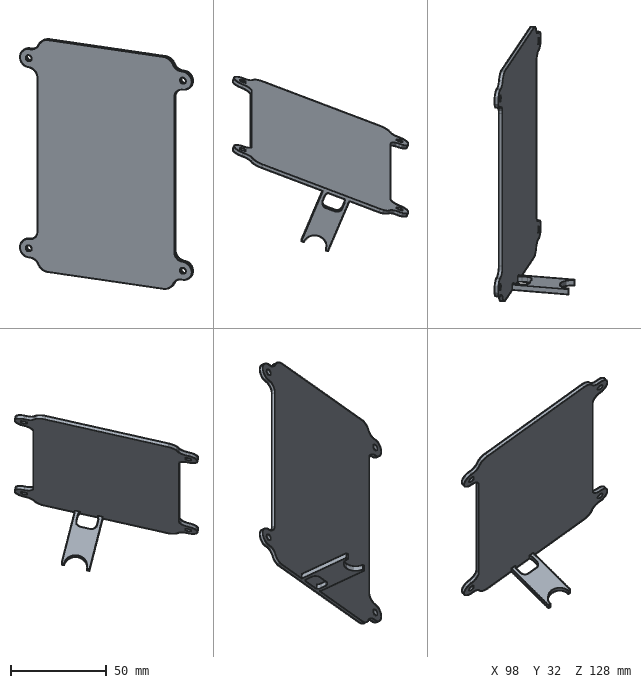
import cadquery as cq
import math

plate_height = 128.0
plate_thickness = 2.0
corner_radius = 6.0

overall_width = 98.0
ear_radius = 5.0
ear_hole_diameter = 3.3
ear_drop = 11.5
blend_radius = 5.0

overall_depth = 32.0
tab_width = 15.0
tab_thickness = 3.0
tab_centre_x = 9.2
notch_radius = 6.1
notch_depth = 6.0
window_width = 11.0
window_length = 9.0
window_reach = 8.0
window_corner_radius = 3.0

half_height = plate_height / 2
ear_x = overall_width / 2 - ear_radius
half_width = ear_x - blend_radius
ear_z = half_height - ear_drop


def plate_quarter(side_x, side_z):
    """Quarter of the plate with one ear; side_x and side_z (1 or -1) choose the quarter."""
    corner_x = half_width - corner_radius
    corner_z = half_height - corner_radius
    outer_blend_z = ear_z + ear_radius + blend_radius
    centre_distance = corner_radius + blend_radius
    blend_angle = math.asin((outer_blend_z - corner_z) / centre_distance)
    outer_blend_x = corner_x + centre_distance * math.cos(blend_angle)
    inner_blend_z = ear_z - ear_radius - blend_radius

    def place(x, z):
        return (side_x * x, side_z * z)

    def on_arc(centre_x, centre_z, radius, angle):
        return place(centre_x + radius * math.cos(angle), centre_z + radius * math.sin(angle))

    corner_mid_angle = (blend_angle + math.pi / 2) / 2
    blend_mid_angle = (blend_angle + math.pi + 1.5 * math.pi) / 2
    return (
        cq.Workplane("XZ")
        .moveTo(0, 0)
        .lineTo(*place(0, half_height))
        .lineTo(*place(corner_x, half_height))
        .threePointArc(
            on_arc(corner_x, corner_z, corner_radius, corner_mid_angle),
            on_arc(corner_x, corner_z, corner_radius, blend_angle),
        )
        .threePointArc(
            on_arc(outer_blend_x, outer_blend_z, blend_radius, blend_mid_angle),
            place(outer_blend_x, ear_z + ear_radius),
        )
        .lineTo(*place(ear_x, ear_z + ear_radius))
        .threePointArc(place(ear_x + ear_radius, ear_z), place(ear_x, ear_z - ear_radius))
        .threePointArc(
            on_arc(ear_x, inner_blend_z, blend_radius, 0.75 * math.pi),
            place(half_width, inner_blend_z),
        )
        .lineTo(*place(half_width, 0))
        .close()
        .extrude(-plate_thickness)
    )


def make_plate():
    """Four mirrored quarters with a hole through each ear."""
    plate = plate_quarter(1, 1)
    for side_x, side_z in ((-1, 1), (-1, -1), (1, -1)):
        plate = plate.union(plate_quarter(side_x, side_z))
    holes = (
        cq.Workplane("XZ")
        .rect(2 * ear_x, 2 * ear_z, forConstruction=True)
        .vertices()
        .circle(ear_hole_diameter / 2)
        .extrude(-plate_thickness)
    )
    return plate.cut(holes).clean()


def make_tab():
    """Flat tab with a round notch in its free end and a rounded window beside the plate."""
    tab_length = overall_depth - plate_thickness
    base = cq.Workplane("XY", origin=(tab_centre_x, plate_thickness, -half_height))
    tab = base.center(0, tab_length / 2).rect(tab_width, tab_length).extrude(tab_thickness)
    notch = base.center(0, tab_length + notch_radius - notch_depth).circle(notch_radius).extrude(tab_thickness)
    window = (
        base.center(0, window_reach - window_length / 2)
        .rect(window_width, window_length)
        .extrude(tab_thickness)
        .edges("|Z")
        .fillet(window_corner_radius)
    )
    return tab.cut(notch).cut(window)


result = make_plate().union(make_tab())